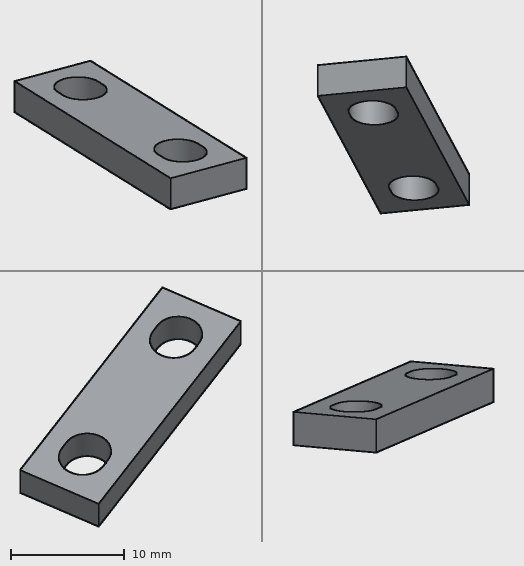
import cadquery as cq

length = 25.0
width = 8.0
thickness = 3.0

slot_length = 5.0
slot_width = 4.2
end_margin = 2.0
slot_offset = length / 2 - end_margin - slot_length / 2

plate = cq.Workplane("XY").box(length, width, thickness)

result = (
    plate.faces(">Z")
    .workplane()
    .pushPoints([(-slot_offset, 0), (slot_offset, 0)])
    .slot2D(slot_length, slot_width)
    .cutThruAll()
)